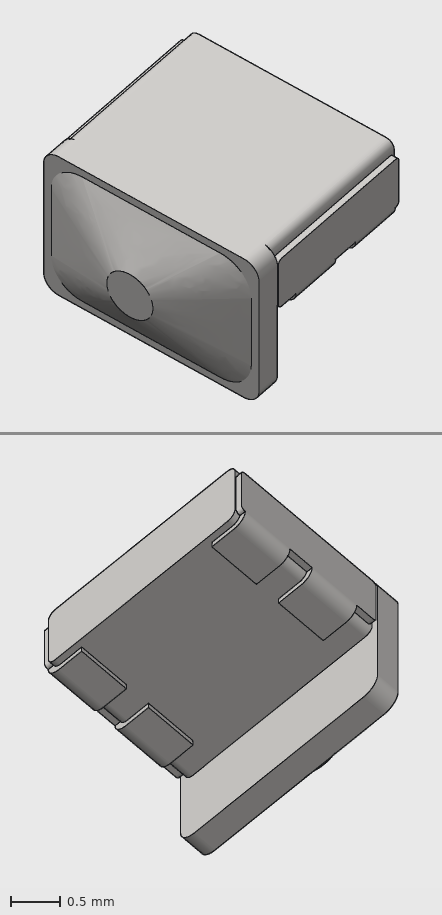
import cadquery as cq
import math

plate_width = 2.8
plate_height = 1.95
plate_thickness = 0.3
plate_corner_radius = 0.2

nose_margin = 0.1
nose_corner_radius = 0.4
nose_tip_radius = 0.3
nose_length = 0.35

lead_thickness = 0.075
body_length = 2.0
body_height = 0.9
body_top_radius = 0.1
body_bottom_radius = 0.1
body_width = plate_width - 2 * lead_thickness

pad_clearance = 0.02
pad_top_drop = 0.148
pad_corner_radius = 0.05
foot_length = 0.65
foot_gap = 0.322
foot_back_inset = 0.075
foot_reach = 0.4
foot_outer_radius = 0.15

plate_top = plate_height / 2
body_bottom = plate_top - body_height
bend_height = body_bottom + body_bottom_radius
foot_bottom = body_bottom - lead_thickness
pad_bottom = foot_bottom + foot_outer_radius
body_side = body_width / 2


def along_y(y_start):
    """XZ sketch plane at y_start; positive extrusion runs toward -Y."""
    return cq.Workplane("XZ", origin=(0, y_start, 0))


def rounded_rectangle(width, height, radius):
    return cq.Sketch().rect(width, height).vertices().fillet(radius)


def make_plate():
    outline = rounded_rectangle(plate_width, plate_height, plate_corner_radius)
    return along_y(0).placeSketch(outline).extrude(plate_thickness)


def make_nose():
    base = rounded_rectangle(
        plate_width - 2 * nose_margin, plate_height - 2 * nose_margin, nose_corner_radius
    )
    tip = cq.Sketch().circle(nose_tip_radius)
    tip_offset = cq.Location(cq.Vector(0, 0, nose_length))
    return along_y(-plate_thickness).placeSketch(base, tip.moved(tip_offset)).loft()


def make_body():
    """The top corners blend into the plate's own corner arcs with a tighter side arc."""
    corner_x = plate_width / 2 - plate_corner_radius
    corner_z = plate_top - plate_corner_radius
    side_arc_x = body_side - body_top_radius
    centre_distance = plate_corner_radius - body_top_radius
    blend_angle = math.acos((side_arc_x - corner_x) / centre_distance)
    side_arc_z = corner_z + centre_distance * math.sin(blend_angle)

    def on_arc(centre_x, centre_z, radius, angle):
        return (centre_x + radius * math.cos(angle), centre_z + radius * math.sin(angle))

    blend_point = on_arc(corner_x, corner_z, plate_corner_radius, blend_angle)
    side_middle = on_arc(side_arc_x, side_arc_z, body_top_radius, blend_angle / 2)
    top_middle = on_arc(corner_x, corner_z, plate_corner_radius, (blend_angle + math.pi / 2) / 2)
    bottom_middle = on_arc(
        body_side - body_bottom_radius, bend_height, body_bottom_radius, -math.pi / 4
    )
    half = (
        along_y(body_length)
        .moveTo(0, body_bottom)
        .lineTo(body_side - body_bottom_radius, body_bottom)
        .threePointArc(bottom_middle, (body_side, bend_height))
        .lineTo(body_side, side_arc_z)
        .threePointArc(side_middle, blend_point)
        .threePointArc(top_middle, (corner_x, plate_top))
        .lineTo(0, plate_top)
        .close()
        .extrude(body_length)
    )
    return half.union(half.mirror("YZ"))


def make_pad():
    pad_top = plate_top - pad_top_drop
    return (
        cq.Workplane("XY")
        .box(
            lead_thickness,
            body_length - 2 * pad_clearance,
            pad_top - pad_bottom,
            centered=(False, True, False),
        )
        .edges("|X")
        .fillet(pad_corner_radius)
        .translate((body_side, body_length / 2, pad_bottom))
    )


def make_foot(back_y):
    """Bent strip: around the bottom corner of the body, then inward underneath it."""
    outer_bend_x = plate_width / 2 - foot_outer_radius
    bend_x = body_side - body_bottom_radius
    foot_end = body_side - foot_reach
    diagonal = math.sqrt(0.5)
    root_height = pad_bottom + pad_corner_radius
    return (
        along_y(back_y)
        .moveTo(body_side, root_height)
        .lineTo(body_side, bend_height)
        .threePointArc(
            (bend_x + body_bottom_radius * diagonal, bend_height - body_bottom_radius * diagonal),
            (bend_x, body_bottom),
        )
        .lineTo(foot_end, body_bottom)
        .lineTo(foot_end, foot_bottom)
        .lineTo(outer_bend_x, foot_bottom)
        .threePointArc(
            (outer_bend_x + foot_outer_radius * diagonal, pad_bottom - foot_outer_radius * diagonal),
            (plate_width / 2, pad_bottom),
        )
        .lineTo(plate_width / 2, root_height)
        .close()
        .extrude(foot_length)
    )


def make_lead():
    lead = make_pad()
    for index in range(2):
        back_y = body_length - foot_back_inset - index * (foot_length + foot_gap)
        lead = lead.union(make_foot(back_y))
    return lead


lead = make_lead()
result = make_plate().union(make_nose()).union(make_body())
result = result.union(lead).union(lead.mirror("YZ"))